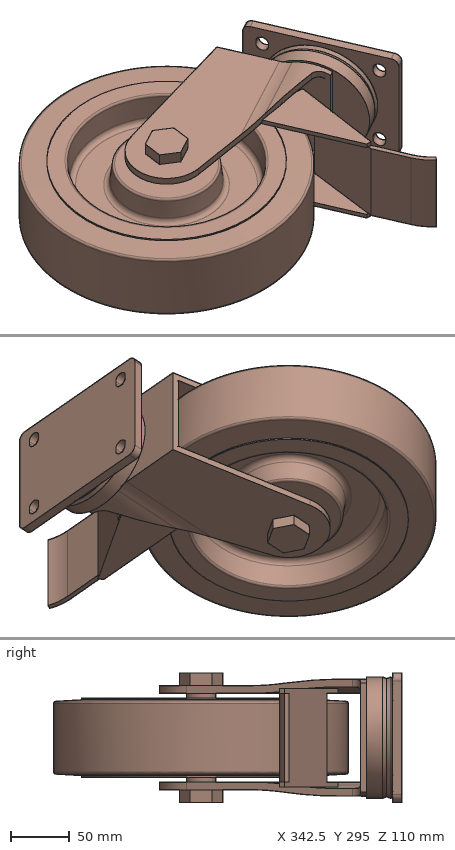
import cadquery as cq
import math


tyre_radius = 125.0
tyre_edge_height = 30.8
tyre_inner_height = 32.2
tyre_edge_fillet = 2.0
rim_radius = 203.0 / 2
rim_height = 33.5
recess_top_radius = 84.2
recess_base_radius = 81.8
rim_edge_fillet = 2.0
hub_top_radius = 46.0
hub_base_radius = 48.5
hub_height = 29.8
hub_edge_fillet = 2.0
web_height = 6.0
web_fillet = 5.0

axle_radius = 25.0 / 2
half_depth = 110.0 / 2
hex_across_flats = 32.0

plate_top = 170.0
plate_thickness = 8.0
plate_length = 140.0
plate_corner_radius = 7.0
slot_width = 11.3
slot_spacing_x = 105.0
slot_inner_z = 37.3
slot_outer_z = 40.0

swivel_x = 164.0 / 2
swivel_radius = 103.0 / 2
bearing_bottom = 140.0
groove_top = 161.0
groove_middle = 157.0
groove_bottom = 153.7
groove_depth = 1.5

sheet = 6.5
fork_inner_z = 37.5
fork_outer_z = fork_inner_z + sheet
crown_thickness = 5.0
crown_left_x = -3.5
crown_right_x = 100.3
bulge_radius = 49.5
bend_start_x = 52.7
leg_end_radius = 35.3
rear_edge_angle = 13.1
front_edge_angle = 20.5
crown_fillet = 10.3

brake_sheet = 4.0
brake_bottom = 66.5
brake_inner_x = 48.0
brake_slope_angle = 30.5
brake_tip_x = 159.0
brake_tip_cut = 2.5
brake_ramp_foot_x = 160.2
brake_slope_start_x = 97.2
pedal_bend_x = 196.0
pedal_bend_radius = 54.5
overall_length = 342.5
pedal_end_x = overall_length - tyre_radius


def sine(angle):
    return math.sin(math.radians(angle))


def cosine(angle):
    return math.cos(math.radians(angle))


def tangent(angle):
    return math.tan(math.radians(angle))


def prism(outline, half_height):
    """Extrude an XY outline symmetrically about Z = 0."""
    return outline.extrude(half_height, both=True)


def make_wheel():
    upper = [
        (hub_top_radius, hub_height),
        (hub_base_radius, web_height),
        (recess_base_radius, web_height),
        (recess_top_radius, rim_height),
        (rim_radius, rim_height),
        (rim_radius, tyre_inner_height),
        (tyre_radius, tyre_edge_height),
    ]
    lower = [(radius, -height) for radius, height in reversed(upper)]
    profile = [(0, hub_height)] + upper + lower + [(0, -hub_height)]
    wheel = cq.Workplane("XZ").polyline(profile).close().revolve(360, (0, 0, 0), (0, 1, 0))

    fillets = [
        (hub_top_radius, hub_edge_fillet),
        (hub_base_radius, web_fillet),
        (recess_base_radius, web_fillet),
        (recess_top_radius, rim_edge_fillet),
        (tyre_radius, tyre_edge_fillet),
    ]
    match_tolerance = 0.05
    for edge_radius, fillet in fillets:
        circles = wheel.edges("%CIRCLE")
        corners = circles.filter(lambda edge: abs(edge.radius() - edge_radius) < match_tolerance)
        wheel = corners.fillet(fillet)
    return wheel


def make_axle():
    pin = prism(cq.Workplane("XY").circle(axle_radius), fork_outer_z)
    hexagon = cq.Workplane("XY").polygon(6, hex_across_flats, circumscribed=True)
    heads = prism(hexagon, half_depth)
    between_heads = cq.Workplane("XY").box(2 * tyre_radius, 2 * tyre_radius, 2 * fork_inner_z)
    return heads.cut(between_heads).union(pin)


def make_mounting_plate():
    plate = (
        cq.Workplane("XZ", origin=(swivel_x, plate_top, 0))
        .rect(plate_length, 2 * half_depth)
        .extrude(plate_thickness)
        .edges("|Y")
        .fillet(plate_corner_radius)
    )
    slot_length = slot_outer_z - slot_inner_z + slot_width
    slot_spacing_z = slot_inner_z + slot_outer_z
    slots = (
        cq.Workplane("XZ", origin=(swivel_x, plate_top, 0))
        .rect(slot_spacing_x, slot_spacing_z, forConstruction=True)
        .vertices()
        .slot2D(slot_length, slot_width, 90)
        .extrude(plate_thickness)
    )
    return plate.cut(slots)


def make_bearing():
    profile = [
        (0, bearing_bottom),
        (swivel_radius, bearing_bottom),
        (swivel_radius, groove_bottom),
        (swivel_radius - groove_depth, groove_middle),
        (swivel_radius, groove_top),
        (swivel_radius - groove_depth, plate_top - plate_thickness),
        (0, plate_top - plate_thickness),
    ]
    bearing = cq.Workplane("XY").polyline(profile).close().revolve(360, (0, 0, 0), (0, 1, 0))
    return bearing.translate((swivel_x, 0, 0))


def fork_envelope(inset, top):
    """Solid filling the fork's plan section, inset from its outer skin, below the given Y."""
    flat_z = fork_outer_z - inset
    radius = bulge_radius - inset
    offset_x = swivel_x - bend_start_x
    bend_radius = (offset_x**2 + fork_outer_z**2 - bulge_radius**2) / (2 * (bulge_radius - fork_outer_z))
    bend_center_z = fork_outer_z + bend_radius
    inset_bend_radius = bend_radius + inset
    bend_angle = math.degrees(math.atan2(offset_x, bend_center_z))
    bend_mid = (
        bend_start_x + inset_bend_radius * sine(bend_angle / 2),
        bend_center_z - inset_bend_radius * cosine(bend_angle / 2),
    )
    bend_end = (swivel_x - radius * sine(bend_angle), radius * cosine(bend_angle))
    bulge_top = (swivel_x, radius)
    bulge_end = (crown_right_x, math.sqrt(radius**2 - (crown_right_x - swivel_x) ** 2))
    half = (
        cq.Workplane("XZ", origin=(0, top, 0))
        .moveTo(-tyre_radius, 0)
        .lineTo(-tyre_radius, flat_z)
        .lineTo(bend_start_x, flat_z)
        .threePointArc(bend_mid, bend_end)
        .threePointArc(bulge_top, bulge_end)
        .lineTo(crown_right_x, 0)
        .close()
        .extrude(top + tyre_radius)
    )
    return half.union(half.mirror("XY"))


def make_fork():
    crown_bottom = bearing_bottom - crown_thickness
    rear_tangent = (-leg_end_radius * cosine(rear_edge_angle), leg_end_radius * sine(rear_edge_angle))
    front_tangent = (leg_end_radius * cosine(front_edge_angle), -leg_end_radius * sine(front_edge_angle))
    corner_x = front_tangent[0] + (crown_bottom - front_tangent[1]) * tangent(front_edge_angle)
    setback = crown_fillet * tangent((90 - front_edge_angle) / 2)
    fillet_start = (
        corner_x - setback * sine(front_edge_angle),
        crown_bottom - setback * cosine(front_edge_angle),
    )
    fillet_end = (corner_x + setback, crown_bottom)
    side_outline = (
        cq.Workplane("XY")
        .moveTo(crown_left_x, bearing_bottom)
        .lineTo(*rear_tangent)
        .threePointArc((0, -leg_end_radius), front_tangent)
        .lineTo(*fillet_start)
        .tangentArcPoint(fillet_end, relative=False)
        .lineTo(crown_right_x, crown_bottom)
        .lineTo(crown_right_x, bearing_bottom)
        .close()
    )
    skin = fork_envelope(0, bearing_bottom)
    cavity = fork_envelope(sheet, crown_bottom)
    return prism(side_outline, half_depth).intersect(skin).cut(cavity)


def make_brake():
    slope = tangent(brake_slope_angle)
    tip_y = brake_bottom + brake_sheet

    def slope_y(x):
        return tip_y + (brake_tip_x - x) * slope

    cheek_outline = cq.Workplane("XY").polyline([
        (brake_inner_x, brake_bottom),
        (brake_tip_x - brake_tip_cut, brake_bottom),
        (brake_tip_x, tip_y),
        (swivel_x, slope_y(swivel_x)),
    ]).close()
    cheeks = prism(cheek_outline, fork_inner_z + brake_sheet)
    between_cheeks = cq.Workplane("XY").rect(2 * overall_length, 2 * overall_length)
    cheeks = cheeks.cut(prism(between_cheeks, fork_inner_z))

    drop = brake_sheet / cosine(brake_slope_angle)
    bend_angle = math.degrees(math.asin((pedal_end_x - pedal_bend_x) / pedal_bend_radius))
    bend_center_y = brake_bottom + pedal_bend_radius

    def bend_point(radius, angle):
        return (pedal_bend_x + radius * sine(angle), bend_center_y - radius * cosine(angle))

    upper_radius = pedal_bend_radius - brake_sheet
    pedal_outline = (
        cq.Workplane("XY")
        .moveTo(brake_slope_start_x, slope_y(brake_slope_start_x))
        .lineTo(brake_tip_x, tip_y)
        .lineTo(pedal_bend_x, tip_y)
        .threePointArc(bend_point(upper_radius, bend_angle / 2), bend_point(upper_radius, bend_angle))
        .lineTo(*bend_point(pedal_bend_radius, bend_angle))
        .threePointArc(bend_point(pedal_bend_radius, bend_angle / 2), (pedal_bend_x, brake_bottom))
        .lineTo(brake_ramp_foot_x, brake_bottom)
        .lineTo(brake_slope_start_x, slope_y(brake_slope_start_x) - drop)
        .close()
    )
    return cheeks.union(prism(pedal_outline, fork_inner_z))


result = (
    make_fork()
    .union(make_bearing())
    .union(make_mounting_plate())
    .union(make_brake())
    .union(make_axle())
    .union(make_wheel())
)